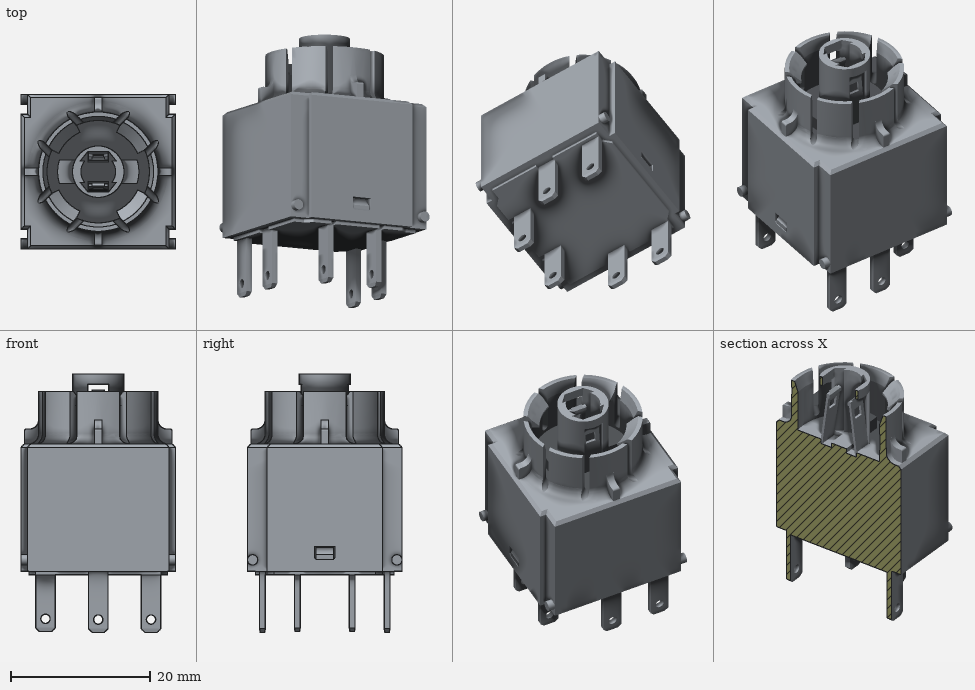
import cadquery as cq
import math

body_side = 22.2
body_height = 18.3
tube_height = 10.05
overall_height = 37.1
body_half = body_side / 2
top_chamfer = 0.5
corner_step_x = 0.93
corner_step_y = 2.82

peg_diameter = 1.5
peg_height = 1.67

window_half_width = 1.5
window_bottom = 1.7
window_top = 3.55
window_corner = 0.3
latch_depth = 1.1
latch_half_width = 1.22
latch_nose_top = 2.4
latch_recess = 0.1

plate_half = 9.95
plate_thickness = 0.5
plate_bevel_x = 8.98
plate_bevel_start_y = 7.27
plate_bevel_end_y = 8.3

terminal_width = 2.85
terminal_thickness = 0.85
terminal_tip = 0.55
terminal_tip_side = 0.093
terminal_hole_diameter = 1.3
terminal_hole_to_tip = 1.85
side_x = 7.57
inner_y = 3.95
outer_y = 8.95
long_length = overall_height - body_height - tube_height
short_length = 8.65
side_terminals = [(-side_x, -inner_y, short_length), (-side_x, inner_y, short_length)]
outer_terminals = [(x, s * outer_y, long_length) for x in (0, side_x) for s in (-1, 1)]

collar_radius = 8.57
collar_bore_radius = 14.7 / 2
collar_wall_middle = (collar_radius + collar_bore_radius) / 2
collar_height = 7.55
collar_top = body_height + collar_height
collar_mouth_radius = 7.95
floor_drop = 0.5
floor_z = body_height - floor_drop
flare = 1.45
slot_width = 1.0
slot_offset = 3.0
slot_floor = 0.05
hook_radius = 6.25
mouth_depth = collar_mouth_radius - hook_radius
hook_land = 0.3
hook_angle = 40

rib_width = 1.08
rib_height = 2.15
rib_end = body_half - top_chamfer
rib_fillet = 1.3
rib_round = 0.3

tube_radius = 7.4 / 2
tube_bore_radius = 2.5
pocket_inner_y = 1.52
pocket_outer_y = 2.9
pocket_inner_half = 2.6
tube_window_half = 1.5
tube_window_height = 8.55
contact_well_y = 1.37
contact_well_depth = 0.75

pad_radius = 5.83
pad_width = 3.35
pad_height = 1.45

contact_half_width = 1.4
contact_foot_y = 3.1
contact_crest_y = 2.08
contact_nose_y = 1.6
contact_height = 7.75
contact_shoulder = 0.22
contact_tip_half = 0.9
contact_thickness = 0.37
contact_nose_drop = 0.37
contact_nose_land = 0.55
contact_hole_half = 0.78
contact_hole_bottom = 4.6
contact_hole_height = 1.52


def box(x0, x1, y0, y1, z0, z1):
    """Axis-aligned block between the given limits."""
    return cq.Workplane("XY").box(x1 - x0, y1 - y0, z1 - z0, centered=False).translate((x0, y0, z0))


def make_body():
    block = cq.Workplane("XY").rect(body_side, body_side).extrude(body_height)
    steps = (
        cq.Workplane("XY")
        .rect(body_side, body_side, forConstruction=True)
        .vertices()
        .rect(2 * corner_step_x, 2 * corner_step_y)
        .extrude(body_height)
    )
    return block.cut(steps).faces(">Z").chamfer(top_chamfer)


def make_pegs():
    peg_y = body_half - peg_diameter / 2
    pegs = (
        cq.Workplane("YZ")
        .pushPoints([(-peg_y, peg_height), (peg_y, peg_height)])
        .circle(peg_diameter / 2)
        .extrude(body_half, both=True)
    )
    inside = body_half - corner_step_x
    return pegs.cut(box(-inside, inside, -body_half, body_half, 0, body_height))


def make_latch_window():
    """Window on the -X side, less the ramped latch nose that stays inside it."""
    opening = box(-body_half, latch_depth - body_half, -window_half_width, window_half_width,
                  window_bottom, window_top)
    opening = opening.edges("|X and <Z").chamfer(window_corner)
    face_x = latch_recess - body_half
    back_x = latch_depth - body_half
    nose = (
        cq.Workplane("XZ")
        .moveTo(face_x, window_bottom)
        .lineTo(face_x, latch_nose_top)
        .lineTo(back_x, latch_nose_top + back_x - face_x)
        .lineTo(back_x, window_bottom)
        .close()
        .extrude(latch_half_width, both=True)
    )
    return opening.cut(nose)


def make_plate():
    """Plate outline from one quarter, with reliefs cut in beside the terminals."""
    quarter = [
        (plate_half, plate_bevel_start_y),
        (plate_bevel_x, plate_bevel_end_y),
        (plate_bevel_x, plate_half),
    ]
    mirrored = [(-x, y) for x, y in reversed(quarter)]
    outline = quarter + mirrored + [(-x, -y) for x, y in quarter + mirrored]
    plate = cq.Workplane("XY").polyline(outline).close().extrude(-plate_thickness)
    half_blade = terminal_thickness / 2
    half_width = terminal_width / 2
    for x, y, _ in side_terminals:
        relief = box(-plate_half, x - half_width, y - half_blade, y + half_blade, -plate_thickness, 0)
        plate = plate.cut(relief)
    for side in (-1, 1):
        relief = box(-half_width, half_width, outer_y, plate_half, -plate_thickness, 0)
        plate = plate.cut(relief if side > 0 else relief.mirror("XZ"))
    return plate


def make_terminal(x, y, length):
    shank = cq.Workplane("XY").rect(terminal_width, terminal_thickness).extrude(terminal_tip - length)
    tip = (
        cq.Workplane("XY", origin=(0, 0, terminal_tip - length))
        .rect(terminal_width, terminal_thickness)
        .workplane(offset=-terminal_tip)
        .rect(terminal_width - 2 * terminal_tip, terminal_thickness - 2 * terminal_tip_side)
        .loft(ruled=True)
    )
    hole = (
        cq.Workplane("XZ", origin=(0, 0, terminal_hole_to_tip - length))
        .circle(terminal_hole_diameter / 2)
        .extrude(terminal_thickness, both=True)
    )
    return shank.union(tip).cut(hole).translate((x, y, 0))


def make_collar():
    """Flared ring with a bevelled mouth, before the finger slots are cut."""
    blend = flare * math.sqrt(0.5)
    return (
        cq.Workplane("XZ", origin=(0, 0, body_height))
        .moveTo(collar_bore_radius, 0)
        .lineTo(collar_radius + flare, 0)
        .threePointArc((collar_radius + flare - blend, flare - blend), (collar_radius, flare))
        .lineTo(collar_radius, collar_height)
        .lineTo(collar_mouth_radius, collar_height)
        .lineTo(collar_bore_radius, collar_height - mouth_depth)
        .close()
        .revolve(360, (0, 0, 0), (0, 1, 0))
    )


def make_hook():
    """Inward snap hook centred on the +X axis, sloping down from the collar mouth."""
    return (
        cq.Workplane("XZ", origin=(0, 0, collar_top))
        .moveTo(collar_mouth_radius, 0)
        .lineTo(hook_radius, -mouth_depth)
        .lineTo(hook_radius, -mouth_depth - hook_land)
        .lineTo(collar_wall_middle, -mouth_depth - hook_land)
        .close()
        .revolve(hook_angle, (0, 0, 0), (0, 1, 0))
        .rotate((0, 0, 0), (0, 0, 1), -hook_angle / 2)
    )


def make_slot(offset):
    """Round-bottomed slot through the +X side of the collar, set off from the axis."""
    slot_radius = slot_width / 2
    return (
        cq.Workplane("YZ", origin=(0, 0, body_height))
        .moveTo(offset - slot_radius, collar_height)
        .lineTo(offset - slot_radius, slot_floor + slot_radius)
        .threePointArc((offset, slot_floor), (offset + slot_radius, slot_floor + slot_radius))
        .lineTo(offset + slot_radius, collar_height)
        .close()
        .extrude(collar_radius + flare)
    )


def make_rib():
    """Rib on the +X side of the collar with a concave run-out onto the wall."""
    blend = rib_fillet * (1 - math.sqrt(0.5))
    return (
        cq.Workplane("XZ", origin=(0, 0, body_height))
        .moveTo(collar_wall_middle, 0)
        .lineTo(rib_end, 0)
        .lineTo(rib_end, rib_height - rib_round)
        .radiusArc((rib_end - rib_round, rib_height), -rib_round)
        .lineTo(collar_radius + rib_fillet, rib_height)
        .threePointArc((collar_radius + blend, rib_height + blend), (collar_radius, rib_height + rib_fillet))
        .lineTo(collar_wall_middle, rib_height + rib_fillet)
        .close()
        .extrude(rib_width / 2, both=True)
    )


def make_floor_recess():
    """Recess that sinks the floor inside the collar below the top of the housing."""
    return cq.Workplane("XY", origin=(0, 0, floor_z)).circle(collar_bore_radius).extrude(floor_drop)


def make_tube_and_pads():
    """Tube with a round bore and a tapered pocket and window toward each Y side, between two pads."""
    base = cq.Workplane("XY", origin=(0, 0, floor_z))
    full_height = floor_drop + tube_height
    full_pad_height = floor_drop + pad_height
    pads = base.circle(pad_radius).extrude(full_pad_height)
    pads = pads.intersect(base.rect(2 * pad_radius, pad_width).extrude(full_pad_height))
    tube = base.circle(tube_radius).extrude(full_height).union(pads)
    tube = tube.cut(base.circle(tube_bore_radius).extrude(full_height))
    window = base.rect(2 * tube_window_half, 2 * tube_radius).extrude(floor_drop + tube_window_height)
    tube = tube.cut(window)
    for side in (-1, 1):
        pocket = base.polyline([
            (-pocket_inner_half, side * pocket_inner_y),
            (pocket_inner_half, side * pocket_inner_y),
            (tube_window_half, side * pocket_outer_y),
            (-tube_window_half, side * pocket_outer_y),
        ]).close().extrude(full_height)
        tube = tube.cut(pocket)
    return tube


def make_contact_well():
    """Well in the floor of the tube that holds the foot of the +Y contact."""
    return box(-tube_window_half, tube_window_half, contact_well_y, contact_foot_y,
               floor_z - contact_well_depth, floor_z)


def make_contact():
    """Leaning spring strip on the +Y side, folded inward at its crest."""
    slope = (contact_foot_y - contact_crest_y) / contact_height
    root_depth = floor_drop + contact_well_depth
    root_y = contact_foot_y + slope * root_depth
    nose_top = contact_height - contact_nose_drop
    nose_bottom = nose_top - contact_nose_land
    back_y = contact_foot_y - contact_thickness
    strip = (
        cq.Workplane("YZ", origin=(0, 0, body_height))
        .moveTo(root_y, -root_depth)
        .lineTo(contact_crest_y, contact_height)
        .lineTo(contact_nose_y, nose_top)
        .lineTo(contact_nose_y, nose_bottom)
        .lineTo(back_y - slope * nose_bottom, nose_bottom)
        .lineTo(root_y - contact_thickness, -root_depth)
        .close()
        .extrude(contact_half_width, both=True)
    )
    shoulder_z = body_height + contact_height - contact_shoulder
    width = contact_half_width - contact_tip_half
    for x in (-contact_half_width, contact_tip_half):
        shoulder = box(x, x + width, contact_nose_y, root_y, shoulder_z, shoulder_z + contact_shoulder)
        strip = strip.cut(shoulder)
    hole_z = body_height + contact_hole_bottom
    hole = box(-contact_hole_half, contact_hole_half, 0, root_y, hole_z, hole_z + contact_hole_height)
    return strip.cut(hole)


def around_z(shape, angle):
    """Copy of a shape turned about the part's vertical axis."""
    return shape.rotate((0, 0, 0), (0, 0, 1), angle)


result = make_body().union(make_pegs())
for angle in (0, 180):
    result = result.cut(around_z(make_latch_window(), angle))
result = result.union(make_plate())
for x, y, length in side_terminals + outer_terminals:
    result = result.union(make_terminal(x, y, length))

collar = make_collar()
for quarter in range(4):
    collar = collar.union(around_z(make_hook(), 45 + 90 * quarter))
    for offset in (-slot_offset, slot_offset):
        collar = collar.cut(around_z(make_slot(offset), 45 + 90 * quarter))
for quarter in range(4):
    collar = collar.union(around_z(make_rib(), 90 * quarter))
result = result.union(collar).cut(make_floor_recess())

result = result.union(make_tube_and_pads())
for angle in (0, 180):
    result = result.cut(around_z(make_contact_well(), angle))
    result = result.union(around_z(make_contact(), angle))